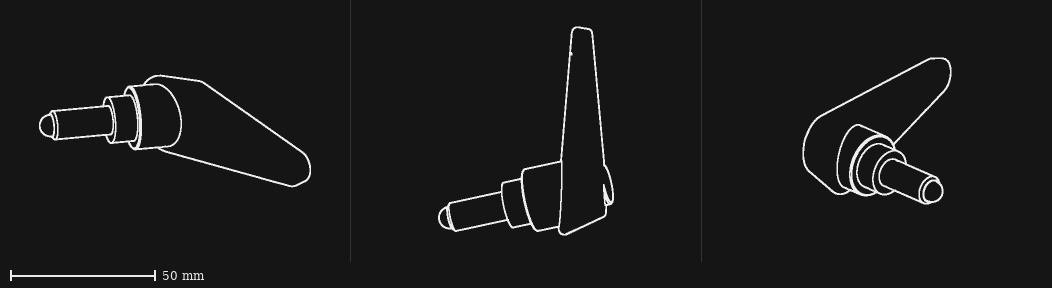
import cadquery as cq
import math


hub_diameter = 22.0
hub_chamfer = 0.4

button_diameter = 14.4
button_top = 28.0
button_chamfer = 0.5

collar_diameter = 16.0
collar_length = 8.0
pin_diameter = 10.0
pin_end = 29.0
pin_chamfer = 1.0
nose_radius = 3.8
nose_tip = 33.0

draft_angle = 12.9
top_slope = 13.5
bottom_slope = 20.0
top_height = 26.9
bottom_height = 10.8
head_base_radius = 16.5
tip_base_half_width = 15.0
tip_base_x = 84.2
tip_lean = 22.5
tip_length = 6.15
blank_height = 48.0
bottom_fillet = 2.0
top_fillet = 1.5

cutter_size = 300.0


def facing_up(height):
    """Plane across the clamping axis, with local x = X and normal +Y."""
    return cq.Plane(origin=(0, height, 0), xDir=(1, 0, 0), normal=(0, 1, 0))


def disc(diameter, bottom, top):
    """Round cylinder on the clamping axis between two heights."""
    return cq.Workplane(facing_up(bottom)).circle(diameter / 2).extrude(top - bottom)


def lever_section(height):
    """Closed outline of the tapered lever at one height: round head, straight sides, oval tip."""
    inset = height * math.tan(math.radians(draft_angle))
    head_radius = head_base_radius - inset
    tip_half_width = tip_base_half_width - inset
    tip_start = tip_base_x - height * math.tan(math.radians(tip_lean))
    tangent_angle = math.asin((head_radius - tip_half_width) / tip_start)
    tangent_x = head_radius * math.sin(tangent_angle)
    tangent_z = head_radius * math.cos(tangent_angle)

    def point(x, z):
        return cq.Vector(x, height, z)

    tip_curve = cq.Edge.makeEllipse(
        tip_length,
        tip_half_width,
        pnt=point(tip_start, 0),
        dir=cq.Vector(0, 1, 0),
        xdir=cq.Vector(1, 0, 0),
        angle1=-90,
        angle2=90,
    )
    return cq.Wire.assembleEdges([
        cq.Edge.makeThreePointArc(
            point(tangent_x, -tangent_z),
            point(-head_radius, 0),
            point(tangent_x, tangent_z),
        ),
        cq.Edge.makeLine(point(tangent_x, tangent_z), point(tip_start, tip_half_width)),
        tip_curve,
        cq.Edge.makeLine(point(tip_start, -tip_half_width), point(tangent_x, -tangent_z)),
    ])


def inclined_plane(height, slope):
    """Plane crossing the clamping axis at a height and rising towards the lever tip."""
    angle = math.radians(slope)
    return cq.Plane(
        origin=(0, height, 0),
        xDir=(math.cos(angle), math.sin(angle), 0),
        normal=(-math.sin(angle), math.cos(angle), 0),
    )


def make_lever():
    """Tapered blank trimmed by both inclined planes, with rounded rims."""
    blank = cq.Workplane(obj=cq.Solid.makeLoft([lever_section(0), lever_section(blank_height)], ruled=True))
    top_plane = inclined_plane(top_height, top_slope)
    bottom_plane = inclined_plane(bottom_height, bottom_slope)
    lever = (
        blank
        .cut(cq.Workplane(top_plane).rect(cutter_size, cutter_size).extrude(cutter_size))
        .cut(cq.Workplane(bottom_plane).rect(cutter_size, cutter_size).extrude(-cutter_size))
    )
    bottom_face = cq.selectors.DirectionMinMaxSelector(bottom_plane.zDir, False)
    top_face = cq.selectors.ParallelDirSelector(top_plane.zDir)
    lever = lever.faces(bottom_face).edges().fillet(bottom_fillet)
    return lever.faces(top_face).edges().fillet(top_fillet)


def make_handle():
    """Lever with its hub below and its round button above, as one solid."""
    core_height = (top_height + bottom_height) / 2
    hub = disc(hub_diameter, 0, core_height).faces("<Y").chamfer(hub_chamfer)
    button = disc(button_diameter, core_height, button_top).faces(">Y").chamfer(button_chamfer)
    return make_lever().union(hub).union(button).solids()


def make_stud():
    """Collar, chamfered pin and ball nose, standing on the hub's lower face."""
    collar = disc(collar_diameter, -collar_length, 0)
    pin = disc(pin_diameter, -pin_end, -collar_length).faces("<Y").chamfer(pin_chamfer)
    nose = cq.Workplane("XY").sphere(nose_radius).translate((0, nose_radius - nose_tip, 0))
    return collar.union(pin).union(nose).solids()


handle = make_handle()
stud = make_stud()
result = cq.Compound.makeCompound([handle.val(), stud.val()])